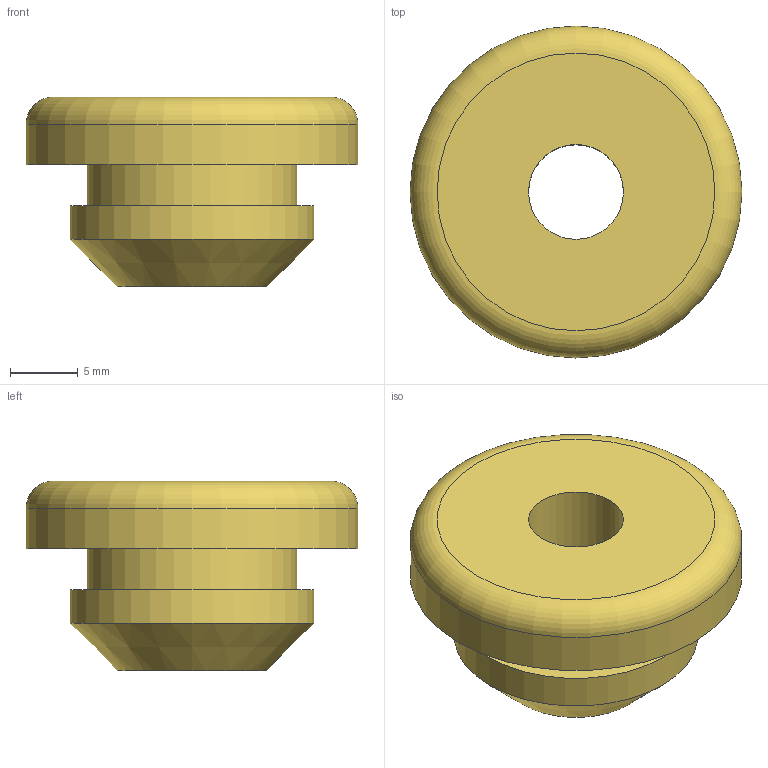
import cadquery as cq

head_diameter = 24.5
head_height = 5.0
head_edge_radius = 2.0
neck_diameter = 15.5
neck_height = 3.0
collar_diameter = 18.0
collar_height = 2.5
tip_height = 3.5
hole_diameter = 7.0

tip_radius = collar_diameter / 2 - tip_height

collar_bottom = tip_height
neck_bottom = collar_bottom + collar_height
head_bottom = neck_bottom + neck_height
total_height = head_bottom + head_height


def make_disc(diameter, bottom, height):
    """Solid cylinder on the Z axis."""
    return cq.Workplane("XY").workplane(offset=bottom).circle(diameter / 2).extrude(height)


def make_head():
    """Wide head with a rounded upper rim."""
    head = make_disc(head_diameter, head_bottom, head_height)
    return head.faces(">Z").edges().fillet(head_edge_radius)


def make_tip():
    """Cone frustum that widens up to the collar."""
    tip = cq.Solid.makeCone(tip_radius, collar_diameter / 2, tip_height)
    return cq.Workplane("XY").add(tip)


neck = make_disc(neck_diameter, neck_bottom, neck_height)
collar = make_disc(collar_diameter, collar_bottom, collar_height)
hole = make_disc(hole_diameter, 0, total_height)

result = make_head().union(neck).union(collar).union(make_tip()).cut(hole)